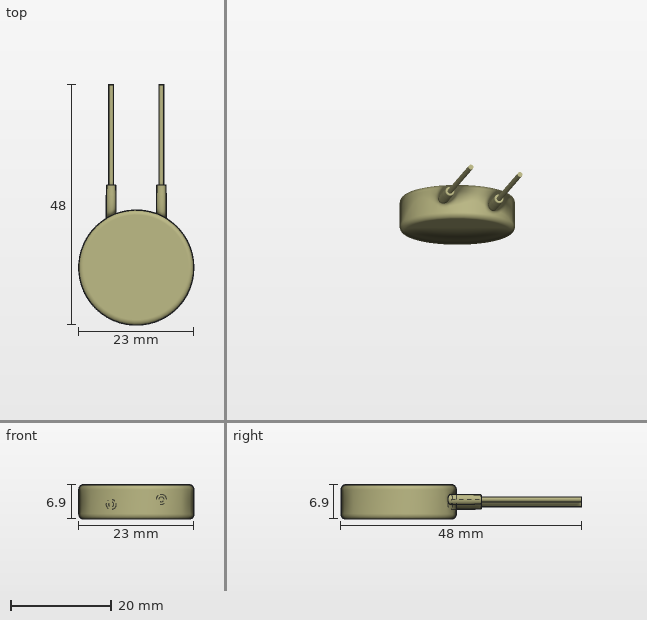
import cadquery as cq

BODY_DIAMETER = 23.0
BODY_THICKNESS = 6.9
BODY_EDGE_RADIUS = 1.0

LEAD_PITCH = 10.0
LEAD_STAGGER = 1.0
WIRE_DIAMETER = 1.0
WIRE_EXPOSED_LENGTH = 20.0

SLEEVE_DIAMETER = 2.0
SLEEVE_TIP_DIAMETER = 1.86
SLEEVE_PROJECTION = 5.0
SLEEVE_TAPER_LENGTH = 2.2
SLEEVE_TIP_ROUND = 0.2

BODY_RADIUS = BODY_DIAMETER / 2
SLEEVE_ROOT_Y = BODY_RADIUS / 2
SLEEVE_TIP_Y = BODY_RADIUS + SLEEVE_PROJECTION
TAPER_START_Y = SLEEVE_TIP_Y - SLEEVE_TAPER_LENGTH
WIRE_TIP_Y = SLEEVE_TIP_Y + WIRE_EXPOSED_LENGTH


def make_body():
    """Disc with both rim edges rounded."""
    disc = cq.Workplane("XY").cylinder(BODY_THICKNESS, BODY_RADIUS)
    return disc.edges("%CIRCLE").fillet(BODY_EDGE_RADIUS)


def make_lead(x, z):
    """Sleeve and wire revolved as one stepped profile about an axis along Y."""
    profile = (
        cq.Workplane("YZ")
        .moveTo(SLEEVE_ROOT_Y, 0)
        .lineTo(SLEEVE_ROOT_Y, SLEEVE_DIAMETER / 2)
        .lineTo(TAPER_START_Y, SLEEVE_DIAMETER / 2)
        .lineTo(SLEEVE_TIP_Y - SLEEVE_TIP_ROUND, SLEEVE_TIP_DIAMETER / 2)
        .radiusArc((SLEEVE_TIP_Y, SLEEVE_TIP_DIAMETER / 2 - SLEEVE_TIP_ROUND), SLEEVE_TIP_ROUND)
        .lineTo(SLEEVE_TIP_Y, WIRE_DIAMETER / 2)
        .lineTo(WIRE_TIP_Y, WIRE_DIAMETER / 2)
        .lineTo(WIRE_TIP_Y, 0)
        .close()
    )
    lead = profile.revolve(360, (0, 0, 0), (1, 0, 0))
    return lead.translate((x, 0, z))


result = make_body()
for side in (-1, 1):
    result = result.union(make_lead(side * LEAD_PITCH / 2, side * LEAD_STAGGER / 2))